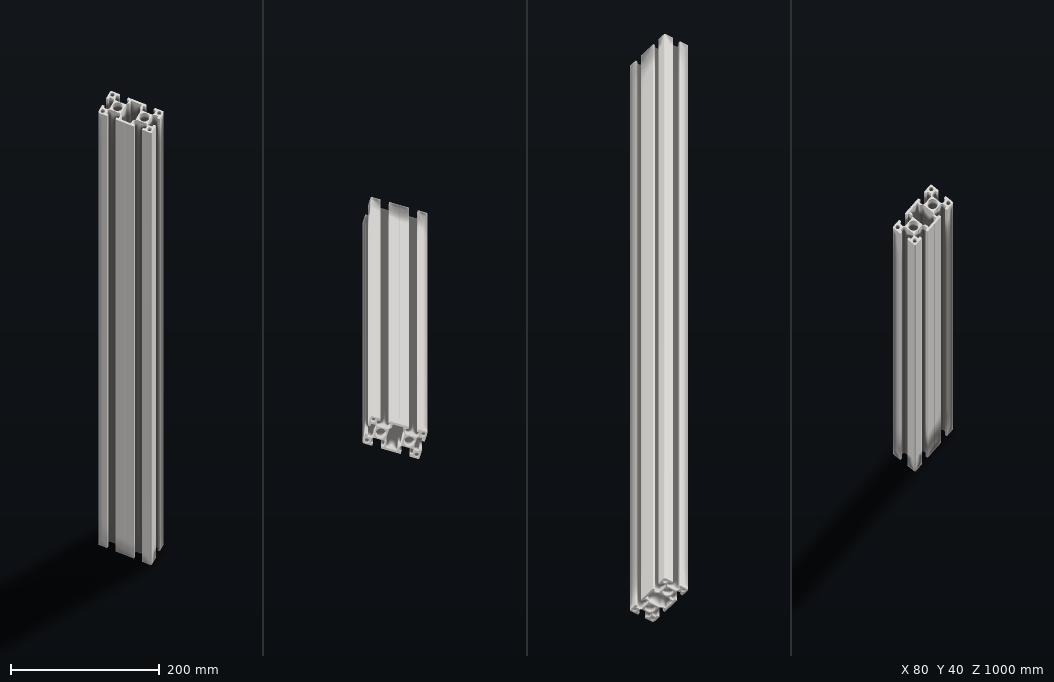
import cadquery as cq

width = 80.0
depth = 40.0
length = 1000.0
corner_radius = 2.0

core_offset = (width - depth) / 2

slot_opening = 12.0
mouth_radius = 0.3
lip_thickness = 3.5
pocket_width = 19.0
pocket_depth = 8.0
pocket_bevel = 2.0
pocket_radius = 1.5
slot_depth = lip_thickness + pocket_depth

groove_width = 1.0
groove_depth = 0.3

bore_diameter = 14.0
corner_hole_diameter = 6.0
corner_hole_inset = 5.0
cavity_width = 22.0
cavity_height = 34.0
cavity_neck_width = 16.0
cavity_waist_height = 18.0


def t_slot():
    """T-slot with a grooved, bevelled floor, cutting down from an outer face on y = 0."""
    half_opening = slot_opening / 2
    half_pocket = pocket_width / 2
    return (
        cq.Workplane("XY")
        .moveTo(0, -slot_depth - groove_depth)
        .lineTo(groove_width / 2, -slot_depth)
        .lineTo(half_pocket - pocket_bevel, -slot_depth)
        .lineTo(half_pocket, -slot_depth + pocket_bevel)
        .lineTo(half_pocket, -lip_thickness - pocket_radius)
        .tangentArcPoint((half_pocket - pocket_radius, -lip_thickness), relative=False)
        .lineTo(half_opening, -lip_thickness)
        .lineTo(half_opening, -mouth_radius)
        .tangentArcPoint((half_opening + mouth_radius, 0), relative=False)
        .lineTo(0, 0)
        .mirrorY()
        .extrude(length)
    )


def marking_groove():
    """V-groove cutting down from an outer face on y = 0."""
    half_groove = groove_width / 2
    return (
        cq.Workplane("XY")
        .polyline([(-half_groove, 0), (0, -groove_depth), (half_groove, 0)])
        .close()
        .extrude(length)
    )


def central_cavity():
    """Barrel-shaped hollow between the two cores, with 45 degree shoulders."""
    half_waist = cavity_waist_height / 2
    shoulder = (cavity_width - cavity_neck_width) / 2
    upper_right = [
        (cavity_width / 2, half_waist),
        (cavity_neck_width / 2, half_waist + shoulder),
        (cavity_neck_width / 2, cavity_height / 2),
    ]
    right = [(x, -y) for x, y in reversed(upper_right)] + upper_right
    left = [(-x, y) for x, y in reversed(right)]
    return cq.Workplane("XY").polyline(right + left).close().extrude(length)


def round_holes(centres, diameter):
    """Full-length round holes at the given points of the profile."""
    return cq.Workplane("XY").pushPoints(centres).circle(diameter / 2).extrude(length)


def turned(tool, angle):
    """The tool turned about the profile's centre line."""
    return tool.rotate((0, 0, 0), (0, 0, 1), angle)


result = cq.Workplane("XY").rect(width, depth).extrude(length).edges("|Z").fillet(corner_radius)

core_centres = [(-core_offset, 0), (core_offset, 0)]
corner_hole_x = width / 2 - corner_hole_inset
corner_hole_y = depth / 2 - corner_hole_inset
corner_hole_centres = [(x, y) for x in (-corner_hole_x, corner_hole_x) for y in (-corner_hole_y, corner_hole_y)]
result = result.cut(central_cavity())
result = result.cut(round_holes(core_centres, bore_diameter))
result = result.cut(round_holes(corner_hole_centres, corner_hole_diameter))

for angle in (0, 180):
    for slot_x in (-core_offset, core_offset):
        result = result.cut(turned(t_slot().translate((slot_x, depth / 2, 0)), angle))
    result = result.cut(turned(marking_groove().translate((0, depth / 2, 0)), angle))

for angle in (90, -90):
    result = result.cut(turned(t_slot().translate((0, width / 2, 0)), angle))